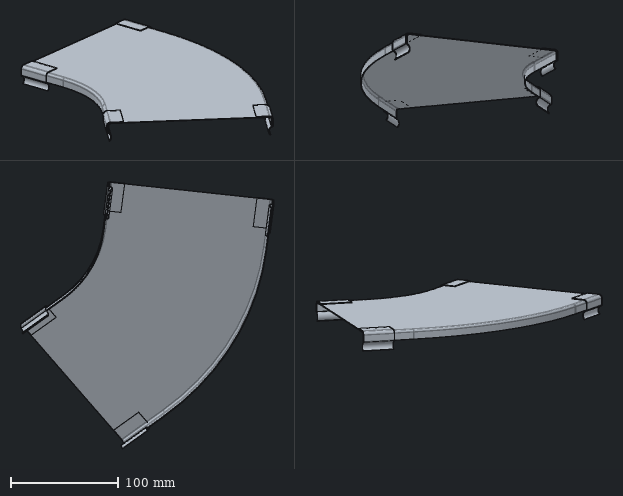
import cadquery as cq
import math

bend_angle = 45.0
overall_length = 264.0
clip_span = 156.3
straight_length = 49.0

sheet = 0.8
side_gap = 0.5
clip_bend = 3.5
cover_bend = 2.6
flange_bottom = -10.3

clip_length = 29.8
clip_leg = 16.0
clip_side_end = -9.8
clip_bottom = -19.3
knee_radius = 1.3
curl_radius = 4.5
curl_offset = 0.5

turn = math.radians(bend_angle)
outer_clip_radius = (overall_length - straight_length * (1 + math.cos(turn))) / math.sin(turn)
inner_clip_radius = outer_clip_radius - clip_span
cover_inset = sheet + side_gap
outer_cover_radius = outer_clip_radius - cover_inset
inner_cover_radius = inner_clip_radius + cover_inset


def polar(center, radius, angle):
    return (center[0] + radius * math.cos(angle), center[1] + radius * math.sin(angle))


def arc_to(sketch, center, radius, start, end):
    """Continue the outline along a circle to the end angle."""
    return sketch.threePointArc(polar(center, radius, (start + end) / 2), polar(center, radius, end))


def cover_section():
    """Channel section in the YZ plane: a flat top with two flanges bent down."""
    top = -sheet
    bend_z = top - cover_bend
    left = (inner_cover_radius + cover_bend, bend_z)
    right = (outer_cover_radius - cover_bend, bend_z)
    inside = cover_bend - sheet
    west, north, east = math.pi, math.pi / 2, 0.0

    outline = cq.Workplane("YZ").moveTo(inner_cover_radius, flange_bottom).lineTo(inner_cover_radius, bend_z)
    outline = arc_to(outline, left, cover_bend, west, north).lineTo(right[0], top)
    outline = arc_to(outline, right, cover_bend, north, east).lineTo(outer_cover_radius, flange_bottom)
    outline = outline.lineTo(outer_cover_radius - sheet, flange_bottom).lineTo(outer_cover_radius - sheet, bend_z)
    outline = arc_to(outline, right, inside, east, north).lineTo(left[0], top - sheet)
    outline = arc_to(outline, left, inside, north, west).lineTo(inner_cover_radius + sheet, flange_bottom)
    return outline.close()


def turn_to_far_end(body):
    return body.rotate((0, 0, 0), (0, 0, 1), -bend_angle)


def make_cover():
    """Straight run, curved bend and second straight run as one folded sheet."""
    near_run = cover_section().extrude(-straight_length)
    bend = cover_section().revolve(bend_angle, (0, 0, 0), (0, -1, 0))
    far_run = turn_to_far_end(cover_section().extrude(straight_length))
    return near_run.union(bend).union(far_run)


def make_clip(face_radius, inward, start_x):
    """Spring clip with its wall at Y = face_radius; inward (+1 or -1) points to the cover."""
    top_center = (clip_bend, -clip_bend)
    knee_center = (knee_radius, clip_side_end)
    knee_to_curl = knee_radius + curl_offset
    curl_drop = math.sqrt((knee_radius + curl_radius) ** 2 - knee_to_curl ** 2)
    curl_center = (-curl_offset, clip_side_end - curl_drop)
    curl_outside = curl_radius + sheet
    curl_start = math.atan2(curl_drop, knee_to_curl)
    curl_end = math.asin((clip_bottom - curl_center[1]) / curl_outside)
    knee_end = math.pi + curl_start
    west, north = math.pi, math.pi / 2

    outline = cq.Workplane("YZ").moveTo(clip_leg, 0).lineTo(clip_bend, 0)
    outline = arc_to(outline, top_center, clip_bend, north, west).lineTo(0, clip_side_end)
    outline = arc_to(outline, knee_center, knee_radius, west, knee_end)
    outline = arc_to(outline, curl_center, curl_radius, curl_start, curl_end)
    outline = outline.lineTo(*polar(curl_center, curl_outside, curl_end))
    outline = arc_to(outline, curl_center, curl_outside, curl_end, curl_start)
    outline = arc_to(outline, knee_center, knee_radius - sheet, knee_end, west).lineTo(sheet, -clip_bend)
    outline = arc_to(outline, top_center, clip_bend - sheet, west, north).lineTo(clip_leg, -sheet)

    clip = outline.close().extrude(clip_length)
    if inward < 0:
        clip = clip.mirror("XZ")
    return clip.translate((start_x, face_radius, 0))


cover = make_cover()

clips = []
for face_radius, inward in ((outer_clip_radius, -1), (inner_clip_radius, 1)):
    near_clip = make_clip(face_radius, inward, -straight_length)
    far_clip = turn_to_far_end(make_clip(face_radius, inward, straight_length - clip_length))
    clips += [near_clip.val(), far_clip.val()]

result = cq.Compound.makeCompound([cover.val(), *clips])